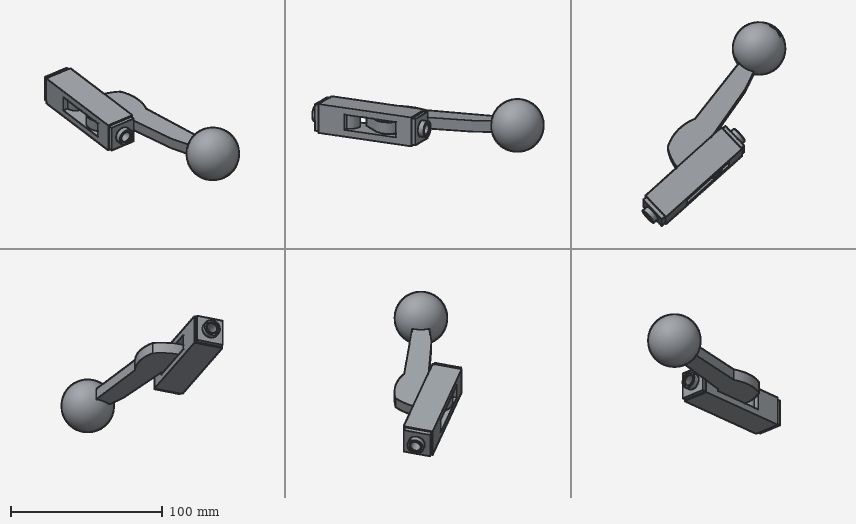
import cadquery as cq
import math


body_start = 6.9
body_end = 75.3
body_side = 20.0
plate_side = 18.2
plate_start = 3.9
plate_end = 78.0
boss_end = 82.0
boss_diameter = 11.0
half_body = body_side / 2

hole_diameter = 7.2
hole_mouth_diameter = 8.3
hole_depth = 14.9
hole_tip_angle = 118.0

slot_start = 25.8
slot_end = 64.0
slot_height = 10.6
nose_radius = 6.3

pivot_x = 54.0
pivot_diameter = 13.4
cam_radius = 9.8
lever_thickness = 7.8
cam_corner_x = 47.7
cam_corner = (cam_corner_x, -math.sqrt(cam_radius**2 - (pivot_x - cam_corner_x)**2))
heel = (36.8, 0.9)
heel_side = (36.0, 8.2)
thumb_start = (41.1, 25.5)
thumb_crest = (54.9, 29.4)
thumb_end = (67.4, 27.3)
arm_bend = (105.2, 19.5)
arm_end_top = (117.2, 35.9)
arm_end_bottom = (121.3, 26.0)

ball_diameter = 35.0
overall_length = 149.0
overall_width = 61.9
ball_center = (overall_length - ball_diameter / 2, overall_width - half_body - ball_diameter / 2, 0)


def square_bar(start, end, side):
    """Square bar along X."""
    return cq.Workplane("YZ").workplane(offset=start).rect(side, side).extrude(end - start)


def upright_pin(x, radius):
    """Cylinder along Z, centred on the body axis and as tall as the slot."""
    return cq.Workplane("XY").center(x, 0).circle(radius).extrude(slot_height / 2, both=True)


def make_body():
    bosses = cq.Workplane("YZ").circle(boss_diameter / 2).extrude(boss_end)
    plates = square_bar(plate_start, plate_end, plate_side)
    return square_bar(body_start, body_end, body_side).union(plates).union(bosses)


def make_slot():
    slot_length = slot_end - slot_start
    slot = cq.Workplane("XY").box(slot_length, body_side, slot_height).translate(
        (slot_start + slot_length / 2, 0, 0)
    )
    return slot.cut(upright_pin(slot_start, nose_radius))


def make_tapped_hole():
    """Countersunk blind hole with a drill-point bottom, entering at the left end."""
    radius = hole_diameter / 2
    mouth_radius = hole_mouth_diameter / 2
    tip_length = radius / math.tan(math.radians(hole_tip_angle / 2))
    return (
        cq.Workplane("XY")
        .polyline([
            (0, 0),
            (0, mouth_radius),
            (mouth_radius - radius, radius),
            (hole_depth, radius),
            (hole_depth + tip_length, 0),
        ])
        .close()
        .revolve(360, (0, 0, 0), (1, 0, 0))
    )


def make_lever():
    diagonal = cam_radius * math.sqrt(0.5)
    return (
        cq.Workplane("XY")
        .workplane(offset=-lever_thickness / 2)
        .moveTo(*cam_corner)
        .threePointArc((pivot_x + diagonal, -diagonal), (pivot_x + cam_radius, 0))
        .lineTo(pivot_x + cam_radius, half_body)
        .lineTo(*arm_bend)
        .lineTo(*arm_end_bottom)
        .lineTo(*arm_end_top)
        .lineTo(*thumb_end)
        .threePointArc(thumb_crest, thumb_start)
        .threePointArc(heel_side, heel)
        .close()
        .extrude(lever_thickness)
    )


def make_ball():
    return cq.Workplane("XY").sphere(ball_diameter / 2).translate(ball_center)


left_hole = make_tapped_hole()
right_hole = left_hole.mirror("YZ").translate((boss_end, 0, 0))

result = (
    make_body()
    .cut(make_slot())
    .cut(left_hole)
    .cut(right_hole)
    .union(upright_pin(pivot_x, pivot_diameter / 2))
    .union(make_lever())
    .union(make_ball())
)